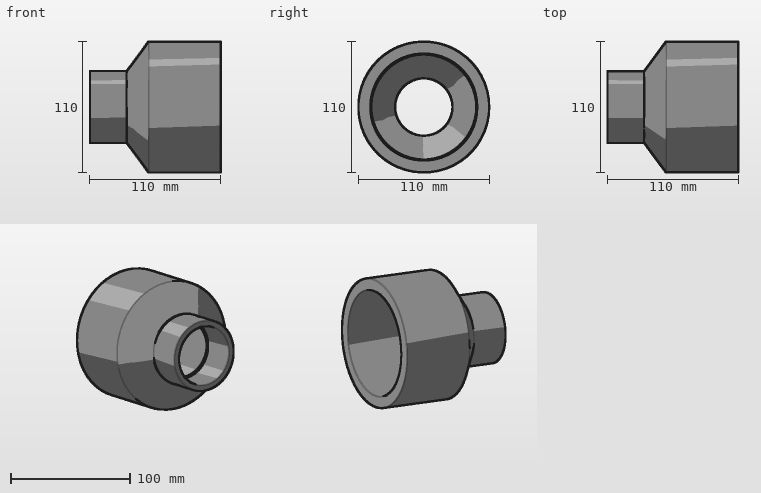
import cadquery as cq

length = 110.0
large_outer_diameter = 110.0
small_outer_diameter = 60.5
small_socket_diameter = 50.0
small_bore_diameter = 48.0
large_socket_diameter = 90.0
large_bore_diameter = 88.0

small_collar_length = 31.0
cone_length = 18.3
small_socket_depth = 31.0
edge_radius = 0.5
stop_land_length = 1.0
large_socket_depth = length - small_collar_length - cone_length

small_end = -length / 2
cone_start = small_end + small_collar_length
cone_end = cone_start + cone_length
large_end = length / 2
small_stop = small_end + small_socket_depth
large_stop = large_end - large_socket_depth


def revolve_about_x(profile):
    """Revolve (station, diameter) points, closed along the axis, about X."""
    first_station = profile[0][0]
    last_station = profile[-1][0]
    points = [(station, diameter / 2) for station, diameter in profile]
    outline = [(first_station, 0), *points, (last_station, 0)]
    return cq.Workplane("XY").polyline(outline).close().revolve(360, (0, 0, 0), (1, 0, 0))


body = revolve_about_x([
    (small_end, small_outer_diameter),
    (cone_start, small_outer_diameter),
    (cone_end, large_outer_diameter),
    (large_end, large_outer_diameter),
])

cavity = revolve_about_x([
    (small_end, small_socket_diameter),
    (small_stop, small_socket_diameter),
    (small_stop, small_bore_diameter),
    (small_stop + stop_land_length, small_bore_diameter),
    (large_stop, large_bore_diameter),
    (large_stop, large_socket_diameter),
    (large_end, large_socket_diameter),
])

rounded_body = body.edges("%CIRCLE and (not (<X or >X))").fillet(edge_radius)
result = rounded_body.cut(cavity).faces("<X or >X").edges().fillet(edge_radius)